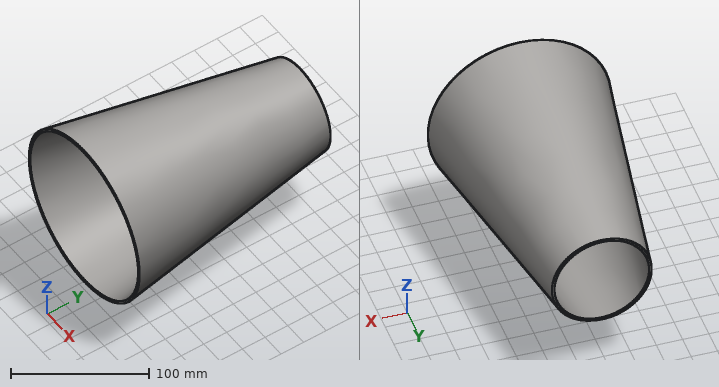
import cadquery as cq

length = 191.0
wide_outer_diameter = 139.6
narrow_outer_diameter = 76.0
wide_bore_diameter = 135.6
narrow_bore_diameter = 72.0

wide_end_y = -length / 2
narrow_end_y = length / 2

wall_section = (
    cq.Workplane("YZ")
    .moveTo(wide_end_y, wide_bore_diameter / 2)
    .lineTo(wide_end_y, wide_outer_diameter / 2)
    .lineTo(narrow_end_y, narrow_outer_diameter / 2)
    .lineTo(narrow_end_y, narrow_bore_diameter / 2)
    .close()
)

result = wall_section.revolve(360, (0, 0, 0), (1, 0, 0))